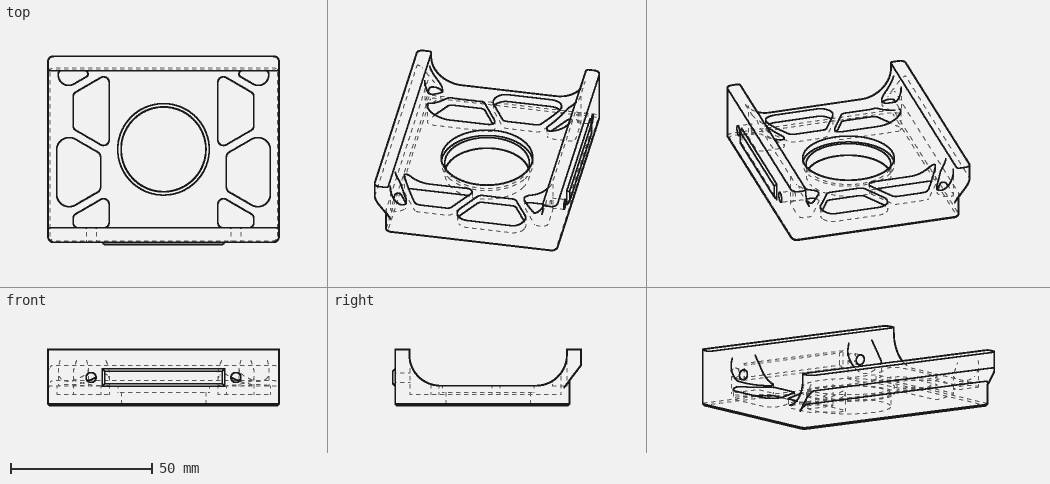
import cadquery as cq
import math

length = 82.0
depth = 66.0
height = 20.0
front_corner_radius = 2.2
back_corner_radius = 2.0
bottom_chamfer = 0.65

foot_setback = 4.1
foot_height = 9.0
overhang_height = 14.4

trough_width = 55.8
trough_radius = 10.8
floor_height = 7.1
trough_end_fillet = 1.0

hole_diameter = 30.0
rim_diameter = 32.5
rim_depth = 2.4

pocket_depth = 3.0
flank_angle = 30
flank_slope = math.tan(math.radians(flank_angle))
pocket_radius = 2.0
row_pitch = 43.2
inner_pocket_y = 13.5
inner_pocket_base_x = 19.3
inner_pocket_tip_x = 32.1
inner_pocket_half_base = 13.6
outer_pocket_base_x = 37.9
outer_pocket_tip_x = 22.3
outer_pocket_half_base = 15.5
outer_pocket_base_radius = 4.4
corner_pocket_base_x = 37.3
corner_pocket_base_radius = 3.7
corner_pocket_wall_radius = 1.15

plate_width = 43.4
plate_height = 6.1
plate_thickness = 0.8
plate_bevel_angle = 45
pin_hole_diameter = 3.5
pin_hole_x = 25.7

half_depth = depth / 2
half_trough = trough_width / 2
foot_back_y = half_depth - foot_setback
pocket_floor = floor_height - pocket_depth


def rounded_block(back_y, block_height):
    """Block standing on Z = 0 from the front face to back_y, with rounded upright corners."""
    block_depth = half_depth + back_y
    block = cq.Workplane("XY").box(length, block_depth, block_height, centered=(True, False, False))
    block = block.edges("|Z and <Y").fillet(front_corner_radius)
    block = block.edges("|Z and >Y").fillet(back_corner_radius)
    return block.translate((0, -half_depth, 0))


def make_body():
    """Rounded block with the sloping back overhang and a chamfered base."""
    slope = (overhang_height - foot_height) / foot_setback
    slope_start_y = foot_back_y - foot_height / slope
    slope_end_y = slope_start_y + height / slope
    below_slope = (
        cq.Workplane("YZ")
        .polyline([(slope_start_y, 0), (slope_end_y, height), (slope_end_y, 0)])
        .close()
        .extrude(length / 2, both=True)
    )
    body = rounded_block(half_depth, height).cut(below_slope)
    body = body.union(rounded_block(foot_back_y, foot_height)).clean()
    return body.faces("<Z").edges().chamfer(bottom_chamfer)


def cut_trough(body):
    """Flat-floored channel with quarter-round sides and rounded end edges."""
    arc_top = floor_height + trough_radius
    flat_half = half_trough - trough_radius
    arc_reach = trough_radius / math.sqrt(2)
    trough = (
        cq.Workplane("YZ")
        .moveTo(-half_trough, height)
        .lineTo(-half_trough, arc_top)
        .threePointArc((-flat_half - arc_reach, arc_top - arc_reach), (-flat_half, floor_height))
        .lineTo(flat_half, floor_height)
        .threePointArc((flat_half + arc_reach, arc_top - arc_reach), (half_trough, arc_top))
        .lineTo(half_trough, height)
        .close()
        .extrude(length / 2, both=True)
    )
    body = body.cut(trough)
    end_margin = 0.1
    inside = cq.selectors.BoxSelector(
        (-length, -half_trough - end_margin, floor_height - end_margin),
        (length, half_trough + end_margin, height),
    )
    ends = body.faces("<X or >X").edges(inside)
    return ends.fillet(trough_end_fillet)


def rounded_prism(corners, bottom=pocket_floor):
    """Prism from the given bottom to the rail top; each corner is (x, y, radius)."""
    prism = (
        cq.Workplane("XY", origin=(0, 0, bottom))
        .polyline([(x, y) for x, y, _ in corners])
        .close()
        .extrude(height - bottom)
    )
    for x, y, radius in corners:
        upright = cq.selectors.NearestToPointSelector((x, y, (bottom + height) / 2))
        prism = prism.edges("|Z").edges(upright).fillet(radius)
    return prism


def full_pocket(base_x, tip_x, half_base, center_y, base_radius):
    """Whole cut-off triangle with its base at base_x and its tip at tip_x."""
    half_tip = half_base - abs(base_x - tip_x) * flank_slope
    return rounded_prism([
        (base_x, center_y - half_base, base_radius),
        (base_x, center_y + half_base, base_radius),
        (tip_x, center_y + half_tip, pocket_radius),
        (tip_x, center_y - half_tip, pocket_radius),
    ])


def front_pocket():
    """Next inner triangle toward the front, closed off by the front wall."""
    base_y = inner_pocket_y - row_pitch + inner_pocket_half_base
    tip_y = base_y - (inner_pocket_tip_x - inner_pocket_base_x) * flank_slope
    return rounded_prism([
        (inner_pocket_base_x, base_y, pocket_radius),
        (inner_pocket_tip_x, tip_y, pocket_radius),
        (inner_pocket_tip_x, -half_trough, pocket_radius),
        (inner_pocket_base_x, -half_trough, pocket_radius),
    ])


def back_pocket():
    """Corner of the next outer triangle toward the back wall, level with the trough floor."""
    flank_y = inner_pocket_y + row_pitch / 2 - outer_pocket_half_base
    base_y = flank_y + (outer_pocket_base_x - corner_pocket_base_x) * flank_slope
    wall_x = corner_pocket_base_x - (half_trough - base_y) / flank_slope
    return rounded_prism([
        (corner_pocket_base_x, base_y, corner_pocket_base_radius),
        (corner_pocket_base_x, half_trough, corner_pocket_wall_radius),
        (wall_x, half_trough, corner_pocket_wall_radius),
    ], bottom=floor_height)


def cut_pockets(body):
    """Four pockets on each side of the hole, mirrored about the YZ plane."""
    pockets = [
        full_pocket(inner_pocket_base_x, inner_pocket_tip_x, inner_pocket_half_base,
                    inner_pocket_y, pocket_radius),
        full_pocket(outer_pocket_base_x, outer_pocket_tip_x, outer_pocket_half_base,
                    inner_pocket_y - row_pitch / 2, outer_pocket_base_radius),
        front_pocket(),
        back_pocket(),
    ]
    for pocket in pockets:
        body = body.cut(pocket).cut(pocket.mirror("YZ"))
    return body


def cut_center_hole(body):
    """Through hole with a wider step at the trough floor."""
    hole = cq.Workplane("XY").circle(hole_diameter / 2).extrude(floor_height)
    rim = cq.Workplane("XY").circle(rim_diameter / 2).extrude(rim_depth)
    return body.cut(hole).cut(rim.translate((0, 0, floor_height - rim_depth)))


def add_front_details(body):
    """Bevelled plate on the front face and a hole through the front wall on each side of it."""
    front = cq.Workplane("XZ", origin=(0, -half_depth, height / 2))
    plate = front.rect(plate_width, plate_height).extrude(plate_thickness, taper=plate_bevel_angle)
    pin_holes = (
        front.pushPoints([(-pin_hole_x, 0), (pin_hole_x, 0)])
        .circle(pin_hole_diameter / 2)
        .extrude(half_trough - half_depth)
    )
    return body.union(plate).cut(pin_holes)


body = make_body()
body = cut_trough(body)
body = cut_pockets(body)
body = cut_center_hole(body)
result = add_front_details(body)